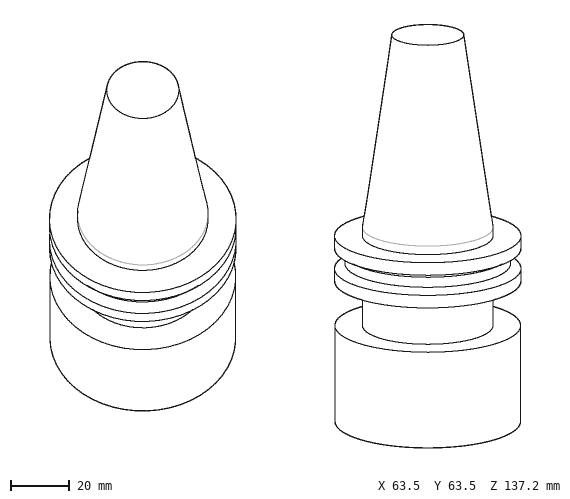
import cadquery as cq

TOTAL_HEIGHT = 137.2

COLLAR_DIAMETER = 63.3
COLLAR_HEIGHT = 34.0

SHANK_DIAMETER = 44.5
NECK_LENGTH = 15.8
FLANGE_DIAMETER = 63.5
FLANGE_THICKNESS = 16.0
GROOVE_FLOOR_DIAMETER = 56.4
GROOVE_FLOOR_WIDTH = 3.5
GROOVE_MOUTH_WIDTH = 7.1
LAND_HEIGHT = 3.0
TAPER_TOP_DIAMETER = 24.5

FLANGE_BOTTOM = COLLAR_HEIGHT + NECK_LENGTH
FLANGE_TOP = FLANGE_BOTTOM + FLANGE_THICKNESS
GROOVE_CENTER = (FLANGE_BOTTOM + FLANGE_TOP) / 2
TAPER_BOTTOM = FLANGE_TOP + LAND_HEIGHT


def make_collar():
    """Plain cylinder that carries the holder on its top face."""
    return cq.Workplane("XY").circle(COLLAR_DIAMETER / 2).extrude(COLLAR_HEIGHT)


def make_holder():
    """Neck, V-grooved flange, land and taper, revolved as one profile."""
    shank_radius = SHANK_DIAMETER / 2
    flange_radius = FLANGE_DIAMETER / 2
    floor_radius = GROOVE_FLOOR_DIAMETER / 2
    half_mouth = GROOVE_MOUTH_WIDTH / 2
    half_floor = GROOVE_FLOOR_WIDTH / 2
    profile = [
        (0, COLLAR_HEIGHT),
        (shank_radius, COLLAR_HEIGHT),
        (shank_radius, FLANGE_BOTTOM),
        (flange_radius, FLANGE_BOTTOM),
        (flange_radius, GROOVE_CENTER - half_mouth),
        (floor_radius, GROOVE_CENTER - half_floor),
        (floor_radius, GROOVE_CENTER + half_floor),
        (flange_radius, GROOVE_CENTER + half_mouth),
        (flange_radius, FLANGE_TOP),
        (shank_radius, FLANGE_TOP),
        (shank_radius, TAPER_BOTTOM),
        (TAPER_TOP_DIAMETER / 2, TOTAL_HEIGHT),
        (0, TOTAL_HEIGHT),
    ]
    return cq.Workplane("XZ").polyline(profile).close().revolve(360, (0, 0), (0, 1))


collar = make_collar()
holder = make_holder()

result = cq.Compound.makeCompound([collar.val(), holder.val()])